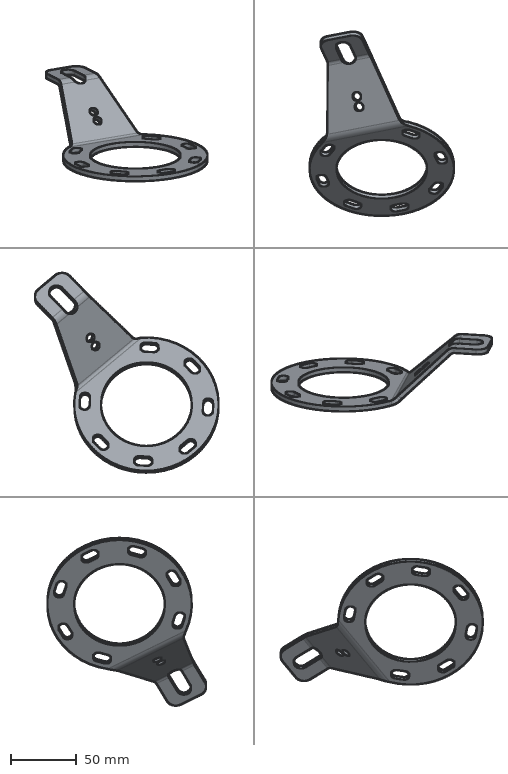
import cadquery as cq
import math

thickness = 4.0
total_height = 43.2
bend_angle = 44.0
inner_radius = 4.0

ring_radius = 55.0
bore_diameter = 69.0
ring_slot_length = 14.0
ring_slot_width = 7.5
ring_slot_circle_radius = 46.9
ring_slot_spacing = 45
lower_bend_x = -43.2

overall_length = 168.1
tab_width = 33.0
tab_corner_radius = 7.7
arm_top_half_width = 17.1
arm_bottom_half_width = 28.7
edge_fillet_radius = 8.0

tab_slot_width = 11.1
tab_slot_end_gap = 5.5
tab_slot_reach_on_arm = 2.0
arm_hole_diameter = 6.5
arm_hole_distances = (16.0, 24.0)

angle = math.radians(bend_angle)
outer_radius = inner_radius + thickness
middle_radius = inner_radius + thickness / 2
bend_length = middle_radius * angle
bend_rise = (inner_radius + outer_radius) * (1 - math.cos(angle))
arm_length = (total_height - thickness - bend_rise) / math.sin(angle)
bend_run = (inner_radius + outer_radius) * math.sin(angle)
upper_bend_x = lower_bend_x - bend_run - arm_length * math.cos(angle)
tab_end_x = ring_radius - overall_length
tab_half_width = tab_width / 2
bend_steps = 10
cutter_margin = 1.7

arm_bottom = lower_bend_x - bend_length
arm_top = arm_bottom - arm_length
tab_edge = arm_top - bend_length
unfold_shift = tab_edge - upper_bend_x

taper = (arm_bottom_half_width - arm_top_half_width) / arm_length
taper_angle = math.atan(taper)
taper_start = arm_top - (arm_top_half_width - tab_half_width) / taper
tab_fillet_start = taper_start - edge_fillet_radius * math.tan(taper_angle / 2)
tab_fillet_end = tab_fillet_start + edge_fillet_radius * math.sin(taper_angle)


def taper_half_width(u):
    return arm_top_half_width + taper * (u - arm_top)


offset_at_origin = taper_half_width(0) + edge_fillet_radius / math.cos(taper_angle)
center_distance = ring_radius + edge_fillet_radius
line_distance = offset_at_origin * math.cos(taper_angle)
along_line = math.sqrt(center_distance**2 - line_distance**2)
fillet_u = -line_distance * math.sin(taper_angle) - along_line * math.cos(taper_angle)
fillet_y = offset_at_origin + taper * fillet_u
ring_fillet_start = fillet_u + edge_fillet_radius * math.sin(taper_angle)
ring_fillet_end = fillet_u * ring_radius / center_distance


def edge_half_width(u):
    if u < tab_fillet_start:
        return tab_half_width
    if u < tab_fillet_end:
        drop = math.sqrt(edge_fillet_radius**2 - (u - tab_fillet_start) ** 2)
        return tab_half_width + edge_fillet_radius - drop
    if u < ring_fillet_start:
        return taper_half_width(u)
    if u < ring_fillet_end:
        return fillet_y - math.sqrt(edge_fillet_radius**2 - (u - fillet_u) ** 2)
    return math.sqrt(ring_radius**2 - u**2)


slot_radius = tab_slot_width / 2
slot_start_x = tab_end_x + tab_slot_end_gap
slot_end = arm_top + tab_slot_reach_on_arm
slot_center = slot_end - slot_radius


def slot_half_width(u):
    if u < slot_center:
        return slot_radius
    return math.sqrt(slot_radius**2 - (u - slot_center) ** 2)


def bend_envelope(center_x, center_z, direction, u_start, u_step, half_width):
    """Wedge with radial side walls whose width follows the unfolded edge."""
    near = inner_radius - cutter_margin
    far = outer_radius + cutter_margin
    sections = []
    for step in range(bend_steps + 1):
        turn = angle * step / bend_steps
        radial = cq.Vector(direction * math.sin(turn), 0, direction * math.cos(turn))
        half = half_width(u_start + u_step * step / bend_steps)
        points = [
            cq.Vector(center_x, y, center_z) + radial * distance
            for distance, y in ((near, -half), (far, -half), (far, half), (near, half))
        ]
        sections.append(cq.Wire.makePolygon(points, close=True))
    return cq.Workplane(cq.Solid.makeLoft(sections, False))


def bend(center_x, center_z, direction, envelope):
    """Cylindrical bend, trimmed at the sides by its envelope."""
    def point(radius, turn):
        x = center_x + direction * radius * math.sin(turn)
        return x, center_z + direction * radius * math.cos(turn)

    sheet = (
        cq.Workplane("XZ")
        .moveTo(*point(outer_radius, 0))
        .threePointArc(point(outer_radius, angle / 2), point(outer_radius, angle))
        .lineTo(*point(inner_radius, angle))
        .threePointArc(point(inner_radius, angle / 2), point(inner_radius, 0))
        .close()
        .extrude(ring_radius, both=True)
    )
    return sheet.intersect(envelope)


def make_ring():
    ring = cq.Workplane().circle(ring_radius).circle(bore_diameter / 2).extrude(thickness)
    keep = cq.Workplane().box(
        ring_radius - lower_bend_x, 2 * ring_radius, thickness, centered=(False, True, False)
    ).translate((lower_bend_x, 0, 0))
    ring = ring.intersect(keep)
    first_slot = ring_slot_spacing - 180
    for position in range(first_slot, 180, ring_slot_spacing):
        slot = (
            cq.Workplane()
            .center(ring_slot_circle_radius, 0)
            .slot2D(ring_slot_length, ring_slot_width, 90)
            .extrude(thickness)
        )
        ring = ring.cut(slot.rotate((0, 0, 0), (0, 0, 1), position))
    return ring


def make_tab():
    length = upper_bend_x - tab_end_x
    tab = (
        cq.Workplane()
        .box(length, tab_width, thickness, centered=(False, True, False))
        .edges("|Z and <X")
        .fillet(tab_corner_radius)
    )
    slot_length = slot_end - unfold_shift - slot_start_x
    slot = (
        cq.Workplane()
        .center(slot_start_x - tab_end_x + slot_length / 2, 0)
        .slot2D(slot_length, tab_slot_width)
        .extrude(thickness)
    )
    return tab.cut(slot).translate((tab_end_x, 0, total_height - thickness))


def make_arm():
    """Arm drawn flat with its upper end at the origin, then tilted into place."""
    mid_fillet = (ring_fillet_start + arm_bottom) / 2
    fillet_points = [
        (u - arm_top, edge_half_width(u)) for u in (ring_fillet_start, mid_fillet, arm_bottom)
    ]
    start, middle, end = fillet_points
    arm = (
        cq.Workplane()
        .moveTo(0, -arm_top_half_width)
        .lineTo(0, arm_top_half_width)
        .lineTo(*start)
        .threePointArc(middle, end)
        .lineTo(end[0], -end[1])
        .threePointArc((middle[0], -middle[1]), (start[0], -start[1]))
        .close()
        .extrude(thickness)
    )
    slot_tip = cq.Workplane().center(slot_center - arm_top, 0).circle(slot_radius).extrude(thickness)
    holes = (
        cq.Workplane()
        .pushPoints([(arm_length - distance, 0) for distance in arm_hole_distances])
        .circle(arm_hole_diameter / 2)
        .extrude(thickness)
    )
    x = upper_bend_x + inner_radius * math.sin(angle)
    z = total_height - outer_radius + inner_radius * math.cos(angle)
    return (
        arm.cut(slot_tip)
        .cut(holes)
        .rotate((0, 0, 0), (0, 1, 0), bend_angle)
        .translate((x, 0, z))
    )


def make_upper_bend():
    place = (upper_bend_x, total_height - outer_radius, 1)
    envelope = bend_envelope(*place, tab_edge, bend_length, edge_half_width)
    slot = bend_envelope(*place, tab_edge, bend_length, slot_half_width)
    return bend(*place, envelope).cut(slot)


def make_lower_bend():
    place = (lower_bend_x, outer_radius, -1)
    envelope = bend_envelope(*place, lower_bend_x, -bend_length, edge_half_width)
    return bend(*place, envelope)


result = make_ring().union(make_lower_bend()).union(make_arm()).union(make_upper_bend()).union(make_tab())